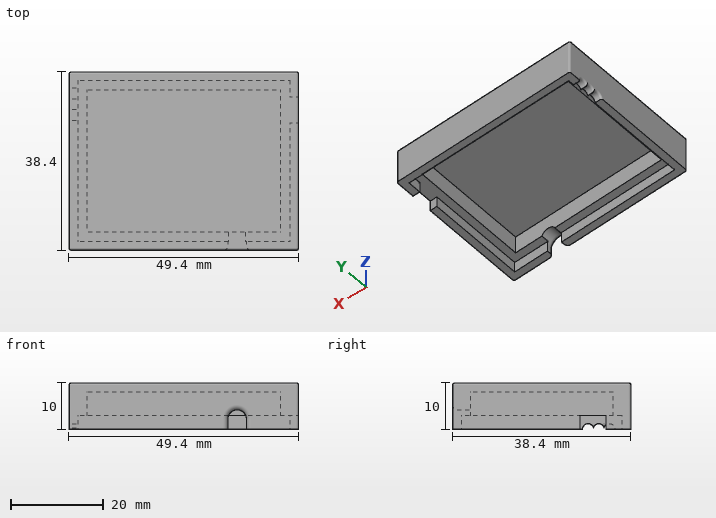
import cadquery as cq

length = 49.4
width = 38.4
height = 10.0
edge_radius = 0.5

skirt_thickness = 1.9
skirt_height = 3.0
seat_width = 2.0
upper_wall = skirt_thickness + seat_width
roof_thickness = 2.0

arch_x = 11.47
arch_radius = 2.0
arch_spring_height = 2.2
arch_mouth_radius = 1.0

groove_count = 3
groove_pitch = 2.3
groove_middle_y = 12.25
groove_radius = 1.2
groove_axis_height = 0.0
groove_mouth_radius = 0.45

connector_y_min = 8.2
connector_y_max = 13.8
connector_width = connector_y_max - connector_y_min

cutter_overrun = 2.0


def rim_box(size_x, size_y, size_z):
    """Box centred in X and Y, standing on the rim plane."""
    return cq.Workplane("XY").box(size_x, size_y, size_z, centered=(True, True, False))


def rounded_body():
    """Solid block with rounded vertical and top edges."""
    return rim_box(length, width, height).edges("|Z or >Z").fillet(edge_radius)


def hollow():
    """Space inside the skirt, stepping in to the narrower cavity above the seat."""
    rim_recess = rim_box(length - 2 * skirt_thickness, width - 2 * skirt_thickness, skirt_height)
    cavity = rim_box(length - 2 * upper_wall, width - 2 * upper_wall, height - roof_thickness)
    return rim_recess.union(cavity)


def arch_path(radius, spring_height, y=0.0):
    """Open arch in the XZ plane: two straight legs joined by a half circle."""
    return (
        cq.Workplane("XZ", origin=(0, y, 0))
        .moveTo(-radius, -cutter_overrun)
        .lineTo(-radius, spring_height)
        .threePointArc((0, spring_height + radius), (radius, spring_height))
        .lineTo(radius, -cutter_overrun)
    )


def arch_cutter(radius, spring_height, mouth_radius):
    """Cutter running from y = 0 toward +Y, flaring at y = 0 to leave a rounded mouth."""
    mouth_half_width = radius + mouth_radius
    flare = arch_path(mouth_half_width, spring_height).close().extrude(-mouth_radius)
    rounded_lip = (
        cq.Workplane("XY", origin=(-mouth_half_width, mouth_radius, -cutter_overrun))
        .circle(mouth_radius)
        .sweep(arch_path(mouth_half_width, spring_height, mouth_radius))
    )
    passage = arch_path(radius, spring_height).close().extrude(-upper_wall)
    return flare.cut(rounded_lip).union(passage)


def cable_arch():
    """Cable opening through the -Y wall."""
    cutter = arch_cutter(arch_radius, arch_spring_height, arch_mouth_radius)
    return cutter.translate((arch_x, -width / 2, 0))


def wire_groove(y):
    """One wire groove through the -X wall, turned to run toward +X."""
    cutter = arch_cutter(groove_radius, groove_axis_height, groove_mouth_radius)
    return cutter.rotate((0, 0, 0), (0, 0, 1), -90).translate((-length / 2, y, 0))


def connector_opening():
    """Rectangular opening through the +X wall, as high as the skirt."""
    corner = (length / 2 - upper_wall, connector_y_min, 0)
    opening = cq.Workplane("XY").box(upper_wall, connector_width, skirt_height, centered=False)
    return opening.translate(corner)


result = rounded_body().cut(hollow()).cut(cable_arch()).cut(connector_opening())
for index in range(groove_count):
    offset = (index - (groove_count - 1) / 2) * groove_pitch
    result = result.cut(wire_groove(groove_middle_y + offset))